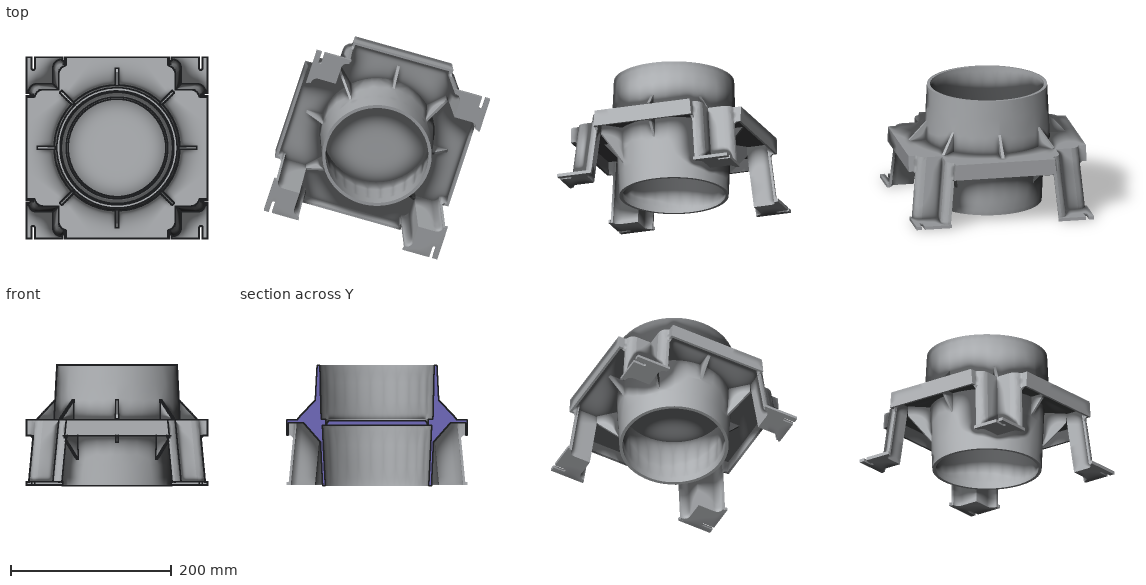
import cadquery as cq
import math

total_height = 150.5
deck_top = 82.4
deck_thickness = 4.0
skirt_depth = 20.0
skirt_bottom = deck_top - skirt_depth
foot_bottom = 1.0
foot_thickness = 4.0
foot_top = foot_bottom + foot_thickness

width = 225.35
half_width = width / 2
wall = 3.0

tube_wall = 4.0
upper_top_radius = 74.8
upper_base_radius = 78.2
lower_top_radius = 71.7
lower_bottom_radius = 68.0
seat_level = 83.0
bore_base_radius = 69.2
seat_radius = 63.2
groove_depth = 6.0
cover_radius = 60.7
cover_depth = 1.9
cover_thickness = 6.0

leg_lean = 0.0955
leg_face = 72.3
leg_reach = 102.3
leg_curl_radius = 10.4
leg_tail = 0.8
leg_lip = 1.0
recess_side = 63.0
recess_fillet = 2.5
recess_overrun = 40.0
gusset_height = 5.0
gusset_reach = 4.6

foot_inner = 67.6
slot_offset = 104.2
slot_width = 4.0
slot_end = 96.9

rib_count = 8
rib_width = 3.0
rib_base_width = 4.0
rib_foot_radius = 99.0
rib_toe_height = 1.0
rib_embed = 1.0
upper_rib_top = 107.0
upper_rib_apex_radius = 76.8
diagonal_rib_low = 33.3
side_rib_low = 53.4
lower_rib_apex_radius = 69.6
lower_rib_slope = 1.13


def curl_centre():
    return leg_face - leg_curl_radius, leg_reach - leg_curl_radius


def curl_contact_angle():
    """Angle on a leg curl where the recess outline leaves it for the fillet to the side wall."""
    fillet_offset = recess_side + recess_fillet - curl_centre()[0]
    return math.acos(fillet_offset / (leg_curl_radius + recess_fillet))


def arc_point(centre, radius, angle):
    return centre[0] + radius * math.cos(angle), centre[1] + radius * math.sin(angle)


def swap(point):
    return point[1], point[0]


def leaning_prism(profile, z_low, z_high):
    """Extrude a deck-level profile between two heights, drifting outward on the way down."""
    drift = leg_lean * (deck_top - z_low)
    rise = z_high - z_low
    face = cq.Face.makeFromWires(profile.val()).translate(cq.Vector(drift, drift, z_low))
    direction = cq.Vector(-leg_lean * rise, -leg_lean * rise, rise)
    return cq.Workplane(cq.Solid.extrudeLinear(face, direction))


def recess_profile(inset):
    """Corner recess outline, grown toward the axis by inset."""
    beyond = half_width + recess_overrun
    face = leg_face - inset
    side = recess_side - inset
    curl = leg_curl_radius - inset
    fillet = recess_fillet + inset
    centre = curl_centre()
    contact_angle = curl_contact_angle()
    fillet_centre = arc_point(centre, curl + fillet, contact_angle)
    contact = arc_point(centre, curl, contact_angle)
    curl_middle = arc_point(centre, curl, contact_angle / 2)
    fillet_middle = arc_point(fillet_centre, fillet, math.pi + contact_angle / 2)
    curl_start = (face, centre[1])
    fillet_end = (side, fillet_centre[1])
    return (
        cq.Workplane("XY")
        .moveTo(side, beyond)
        .lineTo(*fillet_end)
        .threePointArc(fillet_middle, contact)
        .threePointArc(curl_middle, curl_start)
        .lineTo(face, face)
        .lineTo(*swap(curl_start))
        .threePointArc(swap(curl_middle), swap(contact))
        .threePointArc(swap(fillet_middle), swap(fillet_end))
        .lineTo(beyond, side)
        .lineTo(beyond, beyond)
        .close()
    )


def leg_profile():
    """L-shaped wall whose two arms curl back toward the middle of the deck sides.

    Between the plain tails it stands proud of the recess outline by leg_lip,
    so that cutting the recess gives its outer face.
    """
    inner_face = leg_face - wall
    inner_reach = leg_reach - wall
    outer_face = leg_face + leg_lip
    centre = curl_centre()
    contact_angle = curl_contact_angle()
    contact = arc_point(centre, leg_curl_radius, contact_angle)
    lip_start = arc_point(centre, leg_curl_radius + leg_lip, contact_angle)
    tail_middle = arc_point(centre, leg_curl_radius, (contact_angle + math.pi / 2) / 2)
    outer_middle = arc_point(centre, leg_curl_radius + leg_lip, math.pi / 4)
    inner_middle = arc_point(centre, leg_curl_radius - wall, math.pi / 4)
    tail_end = centre[0] - leg_tail
    return (
        cq.Workplane("XY")
        .moveTo(tail_end, leg_reach)
        .lineTo(centre[0], leg_reach)
        .threePointArc(tail_middle, contact)
        .lineTo(*lip_start)
        .threePointArc(outer_middle, (outer_face, centre[1]))
        .lineTo(outer_face, outer_face)
        .lineTo(centre[1], outer_face)
        .threePointArc(swap(outer_middle), swap(lip_start))
        .lineTo(*swap(contact))
        .threePointArc(swap(tail_middle), (leg_reach, centre[0]))
        .lineTo(leg_reach, tail_end)
        .lineTo(inner_reach, tail_end)
        .lineTo(inner_reach, centre[0])
        .threePointArc(swap(inner_middle), (centre[1], inner_face))
        .lineTo(inner_face, inner_face)
        .lineTo(inner_face, centre[1])
        .threePointArc(inner_middle, (centre[0], inner_reach))
        .lineTo(tail_end, inner_reach)
        .close()
    )


def at_four_corners(corner):
    pair = corner.union(corner.mirror("YZ"))
    return pair.union(pair.mirror("XZ"))


def make_deck():
    block = cq.Workplane("XY").workplane(offset=skirt_bottom).rect(width, width).extrude(skirt_depth)
    lining = leaning_prism(recess_profile(wall), skirt_bottom, deck_top)
    cavity = (
        cq.Workplane("XY")
        .workplane(offset=skirt_bottom)
        .rect(width - 2 * wall, width - 2 * wall)
        .extrude(skirt_depth - deck_thickness)
        .cut(at_four_corners(lining))
    )
    tube_opening = cq.Workplane("XY").circle(lower_bottom_radius).extrude(deck_top)
    return block.cut(cavity).cut(tube_opening)


def make_gussets():
    """Sloping lower edges that carry the side walls of a recess down onto its leg."""
    z_low = skirt_bottom - gusset_height
    lining = leaning_prism(recess_profile(wall), z_low, skirt_bottom)
    side_limit = recess_side + recess_fillet
    inner = leg_reach - wall
    outline = [
        (inner, skirt_bottom),
        (leg_reach + gusset_reach, skirt_bottom),
        (leg_reach, z_low),
        (inner, z_low),
    ]
    wedge_x = cq.Workplane("XZ").polyline(outline).close().extrude(-side_limit)
    wedge_y = cq.Workplane("YZ").polyline(outline).close().extrude(side_limit)
    return lining.intersect(wedge_x.union(wedge_y))


def make_foot():
    """Slotted plate on the outer side of a leg, reaching past the tips of its curled arms."""
    size = half_width - foot_inner
    corner = (foot_inner, foot_inner, foot_bottom)
    plate = cq.Workplane("XY", origin=corner).rect(size, size, centered=False).extrude(foot_thickness)
    tip_inner = leg_reach + leg_lean * (deck_top - foot_bottom)
    strip = half_width - tip_inner
    strip_x = (
        cq.Workplane("XY", origin=(tip_inner, foot_inner, foot_bottom))
        .rect(strip, size, centered=False)
        .extrude(foot_thickness)
    )
    strip_y = (
        cq.Workplane("XY", origin=(foot_inner, tip_inner, foot_bottom))
        .rect(size, strip, centered=False)
        .extrude(foot_thickness)
    )
    outside = leaning_prism(recess_profile(0), foot_bottom, foot_top).union(strip_x).union(strip_y)
    slot_length = 2 * (half_width - slot_end)
    slot = (
        cq.Workplane("XY", origin=(slot_offset, half_width, foot_bottom))
        .slot2D(slot_length, slot_width, 90)
        .extrude(foot_thickness)
    )
    return plate.intersect(outside).cut(slot)


def make_frame():
    """Deck on four legs, with the corner recesses cut and the feet added."""
    leg = leaning_prism(leg_profile(), foot_bottom, deck_top).union(make_gussets())
    recess = leaning_prism(recess_profile(0), foot_bottom, deck_top)
    frame = make_deck().union(at_four_corners(leg)).cut(at_four_corners(recess))
    return frame.union(at_four_corners(make_foot()))


def make_tubes():
    """Upper and lower tube in one turned body, closed by a cover at deck level."""
    cover_bottom = seat_level - cover_depth - cover_thickness
    outline = [
        (0, cover_bottom),
        (lower_top_radius - tube_wall, cover_bottom),
        (lower_bottom_radius - tube_wall, 0),
        (lower_bottom_radius, 0),
        (lower_top_radius, deck_top),
        (upper_base_radius, deck_top),
        (upper_top_radius, total_height),
        (upper_top_radius - tube_wall, total_height),
        (bore_base_radius, seat_level),
        (seat_radius, seat_level),
        (seat_radius, seat_level - groove_depth),
        (cover_radius, seat_level - cover_depth),
        (0, seat_level - cover_depth),
    ]
    return cq.Workplane("XZ").polyline(outline).close().revolve(360, (0, 0), (0, 1))


def radial_rib(outline, angle):
    rib = cq.Workplane("XZ").polyline(outline).close().extrude(rib_base_width / 2, both=True)
    return rib.intersect(rib_taper()).rotate((0, 0, 0), (0, 0, 1), angle)


def rib_taper():
    """Long bar limiting the rib width: widest at the deck, narrowing upward and down to the skirt edge."""
    half_base = rib_base_width / 2
    half_tip = rib_width / 2
    section = [
        (-half_tip, 0),
        (half_tip, 0),
        (half_tip, skirt_bottom),
        (half_base, deck_top),
        (half_tip, upper_rib_top),
        (-half_tip, upper_rib_top),
        (-half_base, deck_top),
        (-half_tip, skirt_bottom),
    ]
    return cq.Workplane("YZ").polyline(section).close().extrude(half_width)


def lower_rib_outline(low):
    """Triangle under the deck, cut off upright where it would pass the rib foot radius."""
    top = deck_top - deck_thickness / 2
    inner = lower_rib_apex_radius - rib_embed
    full_run = (top - low) / lower_rib_slope
    run = min(rib_foot_radius - lower_rib_apex_radius, full_run)
    outer = lower_rib_apex_radius + run
    outline = [
        (inner, top),
        (inner, low),
        (lower_rib_apex_radius, low),
        (outer, low + run * lower_rib_slope),
    ]
    if run < full_run:
        outline.append((outer, top))
    return outline


def make_ribs():
    """Gussets around both tubes; below the deck the diagonal ones reach lower."""
    root = deck_top - rib_embed
    inner = upper_top_radius - rib_embed
    upper = [
        (inner, root),
        (rib_foot_radius, root),
        (rib_foot_radius, deck_top + rib_toe_height),
        (upper_rib_apex_radius, upper_rib_top),
        (inner, upper_rib_top),
    ]
    ribs = cq.Workplane("XY")
    for index in range(rib_count):
        angle = 360 / rib_count * index
        is_diagonal = index % 2 == 1
        low = diagonal_rib_low if is_diagonal else side_rib_low
        ribs = ribs.add(radial_rib(upper, angle)).add(radial_rib(lower_rib_outline(low), angle))
    return ribs.combine()


part = make_frame().union(make_tubes()).union(make_ribs())
result = cq.Workplane(part.solids().val())